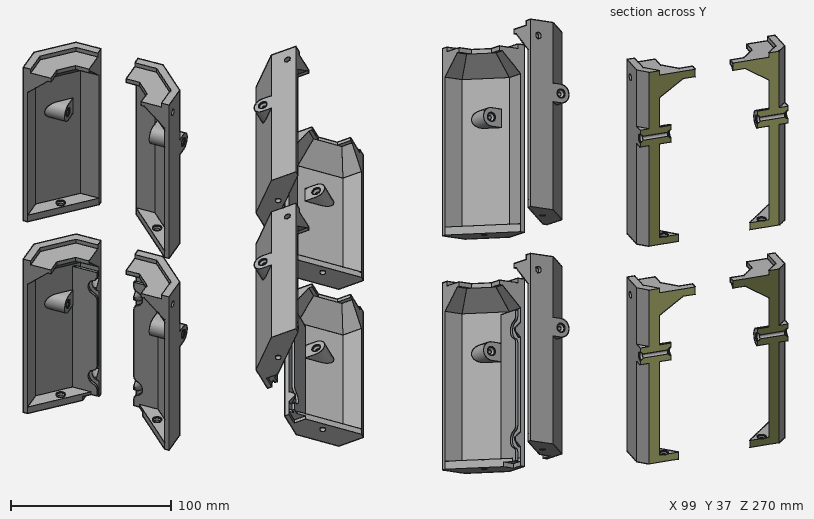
import cadquery as cq
import math

TOTAL_HEIGHT = 270.0
TOTAL_WIDTH = 99.0
ROW_GAP = 30.0
COVER_SIZE = 37.0
COVER_HEIGHT = (TOTAL_HEIGHT - ROW_GAP) / 2
UPPER_ROW_Z = COVER_HEIGHT + ROW_GAP

SIDE_LENGTH = 17.0
SIDE_WALL = 3.0
DIAGONAL_WALL = 5.0

RECESS_BORDER = 5.0
RECESS_DEPTH = 3.0
SHELF_BORDER = 19.0
SHELF_UNDERSIDE = 6.0
SLOPE_RUN = SHELF_BORDER - DIAGONAL_WALL
SLOPE_FOOT = 19.0
SLOPE_SIDE = SIDE_WALL + SLOPE_RUN

FLOOR_THICKNESS = 5.0

WALL_HOLE_DIAMETER = 4.0
WALL_HOLE_DEPTH = 3.0
WALL_HOLE_Y = 6.0
WALL_HOLE_DROP = 9.7

BOSS_RADIUS = 6.0
BOSS_Y = SIDE_LENGTH + BOSS_RADIUS
BOSS_END_X = 20.8
BOSS_DROP = 44.8

MOUTH_DIAMETER = 6.0
SEAT_DIAMETER = 5.0
SEAT_DROP = 0.8
FLOOR_HOLE_DIAMETER = 3.5
BOSS_HOLE_DIAMETER = 2.5

PLATE_THICKNESS = 1.5
PLATE_GAP = 2.2
PLATE_DROP = 20.5
SOCKET_RADIUS = 6.0
SOCKET_FILLET = 3.5
CONE_RADIUS = 4.9
CONE_TIP_RADIUS = 1.0
CONE_LENGTH = 4.0
CONE_HEIGHTS = (17.0, COVER_HEIGHT - 33.0)
NOTCH_WIDTH = 7.8
NOTCH_HEIGHT = 3.0

WALL_FACE_Y = COVER_SIZE - SIDE_WALL
PLATE_BACK_Y = WALL_FACE_Y - PLATE_GAP
PLATE_FACE_Y = PLATE_BACK_Y - PLATE_THICKNESS
INNER_INTERCEPT = SIDE_LENGTH - DIAGONAL_WALL * math.sqrt(2)
FLOOR_INTERCEPT = -SIDE_WALL
BOSS_Z = COVER_HEIGHT - BOSS_DROP


def prism(points, bottom, top):
    """Solid over a closed XY outline between two heights."""
    return cq.Workplane("XY").workplane(offset=bottom).polyline(points).close().extrude(top - bottom)


def inner_outline(side, diagonal):
    """Outline set in from the square-on and diagonal outer faces, open towards the free edges."""
    intercept = SIDE_LENGTH - diagonal * math.sqrt(2)
    back = COVER_SIZE - side
    return [
        (side, 0),
        (side, side + intercept),
        (back - intercept, back),
        (COVER_SIZE, back),
        (COVER_SIZE, 0),
    ]


def shell():
    """Outer body with the shelf, the sloping underside and the cavity removed."""
    body = prism(inner_outline(0, 0), 0, COVER_HEIGHT)
    underside_z = COVER_HEIGHT - SHELF_UNDERSIDE
    foot_z = COVER_HEIGHT - SLOPE_FOOT
    recess = prism(inner_outline(RECESS_BORDER, RECESS_BORDER), COVER_HEIGHT - RECESS_DEPTH, COVER_HEIGHT)
    opening = prism(inner_outline(SHELF_BORDER, SHELF_BORDER), underside_z, COVER_HEIGHT)
    slope = (
        cq.Workplane("XY").workplane(offset=foot_z)
        .polyline(inner_outline(SIDE_WALL, DIAGONAL_WALL)).close()
        .workplane(offset=underside_z - foot_z)
        .polyline(inner_outline(SLOPE_SIDE, SHELF_BORDER)).close()
        .loft(ruled=True)
    )
    cavity = prism(inner_outline(SIDE_WALL, DIAGONAL_WALL), 0, foot_z)
    return body.cut(recess).cut(opening).cut(slope).cut(cavity)


def floor():
    """Floor between the walls, closed in front by a 45 degree face."""
    back = inner_outline(SIDE_WALL, DIAGONAL_WALL)[1:3]
    front_left = (SIDE_WALL, SIDE_WALL + FLOOR_INTERCEPT)
    front_right = (COVER_SIZE, COVER_SIZE + FLOOR_INTERCEPT)
    return prism([front_left, *back, front_right], 0, FLOOR_THICKNESS)


def screw_hole(mouth, direction, diameter, length):
    """Cutter for a screw hole that starts at its mouth and runs along a direction."""
    mouth_radius = MOUTH_DIAMETER / 2
    seat_radius = SEAT_DIAMETER / 2
    through_radius = diameter / 2
    profile = [
        (0, 0),
        (mouth_radius, 0),
        (seat_radius, mouth_radius - seat_radius),
        (seat_radius, SEAT_DROP),
        (through_radius, SEAT_DROP + seat_radius - through_radius),
        (through_radius, length),
        (0, length),
    ]
    across = (direction[1], direction[2], direction[0])
    normal = cq.Vector(*across).cross(cq.Vector(*direction))
    plane = cq.Plane(origin=mouth, xDir=across, normal=normal)
    return cq.Workplane(plane).polyline(profile).close().revolve(360, (0, 0), (0, 1))


def floor_hole():
    """Screw hole at the middle of the floor, mouth up."""
    intercept = (INNER_INTERCEPT + FLOOR_INTERCEPT) / 2
    x = (COVER_SIZE - intercept) / 2
    top = (x, COVER_SIZE - x, FLOOR_THICKNESS)
    return screw_hole(top, (0, 0, -1), FLOOR_HOLE_DIAMETER, FLOOR_THICKNESS)


def wall_hole():
    """Blind hole into the X side, under the shelf."""
    start = cq.Vector(0, WALL_HOLE_Y, COVER_HEIGHT - WALL_HOLE_DROP)
    return cq.Workplane(
        cq.Solid.makeCylinder(WALL_HOLE_DIAMETER / 2, WALL_HOLE_DEPTH, start, cq.Vector(1, 0, 0))
    )


def boss():
    """Round boss along X, with a web to the diagonal wall both outside and inside."""
    low = BOSS_Z - BOSS_RADIUS
    high = BOSS_Z + BOSS_RADIUS
    barrel = cq.Workplane(
        cq.Solid.makeCylinder(BOSS_RADIUS, BOSS_END_X, cq.Vector(0, BOSS_Y, BOSS_Z), cq.Vector(1, 0, 0))
    )
    outer_web = prism([(0, SIDE_LENGTH), (0, BOSS_Y), (BOSS_Y - SIDE_LENGTH, BOSS_Y)], low, high)
    inner_web = prism(
        [
            (BOSS_Y - INNER_INTERCEPT, BOSS_Y),
            (BOSS_END_X, BOSS_Y),
            (BOSS_END_X, BOSS_END_X + INNER_INTERCEPT),
        ],
        low, high,
    )
    return barrel.union(outer_web).union(inner_web)


def boss_hole():
    """Hole through the boss along X, seated at both ends."""
    middle = BOSS_END_X / 2
    outer_half = screw_hole((0, BOSS_Y, BOSS_Z), (1, 0, 0), BOSS_HOLE_DIAMETER, middle)
    inner_half = screw_hole((BOSS_END_X, BOSS_Y, BOSS_Z), (-1, 0, 0), BOSS_HOLE_DIAMETER, middle)
    return outer_half.union(inner_half)


def corner_cover():
    """Upper cover: the shell with floor, boss and holes."""
    body = shell().union(floor()).union(boss())
    return body.cut(floor_hole()).cut(wall_hole()).cut(boss_hole())


def joint_plate():
    """Plate in front of the Y wall, its free edge rounded back around each cone."""
    plate = prism(
        [
            (PLATE_FACE_Y - INNER_INTERCEPT, PLATE_FACE_Y),
            (COVER_SIZE, PLATE_FACE_Y),
            (COVER_SIZE, PLATE_BACK_Y),
            (PLATE_BACK_Y - INNER_INTERCEPT, PLATE_BACK_Y),
        ],
        NOTCH_HEIGHT, COVER_HEIGHT - PLATE_DROP,
    )
    reach = SOCKET_RADIUS + SOCKET_FILLET
    for z in CONE_HEIGHTS:
        start = cq.Vector(COVER_SIZE, PLATE_FACE_Y, z)
        socket = cq.Solid.makeCylinder(SOCKET_RADIUS, PLATE_THICKNESS, start, cq.Vector(0, 1, 0))
        corners = cq.selectors.BoxSelector(
            (COVER_SIZE - reach, 0, z - reach), (COVER_SIZE + reach, COVER_SIZE, z + reach)
        )
        plate = plate.cut(cq.Workplane(socket)).edges("|Y").edges(corners).fillet(SOCKET_FILLET)
    return plate


def half_cone(z):
    """Blunt cone standing on the Y wall, halved by the plane of the free edge."""
    cone = cq.Solid.makeCone(
        CONE_RADIUS, CONE_TIP_RADIUS, CONE_LENGTH,
        cq.Vector(COVER_SIZE, WALL_FACE_Y, z), cq.Vector(0, -1, 0),
    )
    keep = cq.Workplane("XY").box(COVER_SIZE, COVER_SIZE, COVER_HEIGHT, centered=False)
    return keep.intersect(cq.Workplane(cone))


def bottom_notch():
    """Notch under the floor and the plate, beside the free edge of the Y wall."""
    return cq.Workplane("XY").box(NOTCH_WIDTH, WALL_FACE_Y, NOTCH_HEIGHT, centered=False).translate(
        (COVER_SIZE - NOTCH_WIDTH, 0, 0)
    )


def joint_cover():
    """Lower cover: a corner cover with the plate, the half cones and the notch added."""
    body = corner_cover().union(joint_plate()).cut(bottom_notch())
    for z in CONE_HEIGHTS:
        body = body.union(half_cone(z))
    return body


def left_and_right(cover, z):
    """The cover placed on the left at a height, and its mirror image on the right."""
    left = cover.translate((-TOTAL_WIDTH / 2, -COVER_SIZE / 2, z))
    return [left.val(), left.mirror("YZ").val()]


corner_covers = left_and_right(corner_cover(), UPPER_ROW_Z)
joint_covers = left_and_right(joint_cover(), 0)

result = cq.Compound.makeCompound([*corner_covers, *joint_covers])